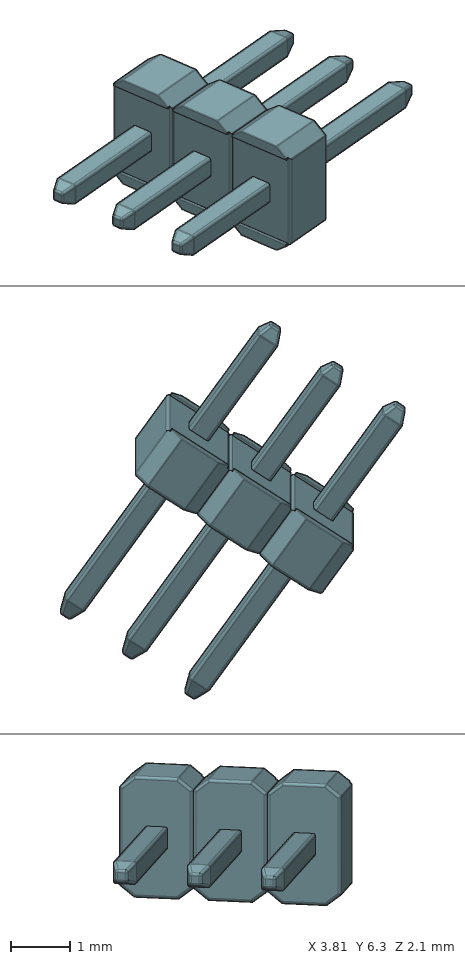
import cadquery as cq


contact_count = 3
row_length = 3.81
pitch = row_length / contact_count

edge_fillet = 0.05

block_height = 2.1
block_depth = 1.0
corner_cut_x = 0.26
corner_cut_z = 0.2
lip_depth = 0.05
lip_fillet = 0.0115
long_edge_fillet = 0.025
wall_height = block_height - 2 * corner_cut_z

overall_length = 6.3
pin_width = 0.4
pin_rear_length = 3.0
tip_width = 0.2
rear_taper = 0.3
front_taper = 0.23
pin_rear_y = pin_rear_length
pin_front_y = pin_rear_length - overall_length


def front_plane(y):
    """Plane at the given Y, with local x along X, local y along Z and its normal toward -Y."""
    return cq.Workplane("XZ", origin=(0, y, 0))


def block_outline(plane):
    """Eight-sided block section as a closed wire on the plane."""
    half_width = pitch / 2
    half_flat = half_width - corner_cut_x
    half_height = block_height / 2
    half_wall = wall_height / 2
    return plane.polyline([
        (-half_flat, -half_height),
        (half_flat, -half_height),
        (half_width, -half_wall),
        (half_width, half_wall),
        (half_flat, half_height),
        (-half_flat, half_height),
        (-half_width, half_wall),
        (-half_width, -half_wall),
    ]).close()


def make_block():
    """Main block, rounded on its long edges, its rear rim and its upright front edges."""
    block = block_outline(front_plane(0)).extrude(block_depth)
    block = block.edges("|Y").fillet(long_edge_fillet)
    block = block.faces(">Y").edges().fillet(edge_fillet)
    rounded_front = cq.Workplane("XY").box(pitch, block_depth, block_height)
    rounded_front = rounded_front.edges("|Z and <Y").fillet(edge_fillet)
    return block.intersect(rounded_front.translate((0, -block_depth / 2, 0)))


def make_lips():
    """Top and bottom lips: the section ahead of the front face, without its sides and middle."""
    lip_width = pitch - 2 * edge_fillet
    plane = front_plane(-block_depth)
    section = block_outline(plane).extrude(lip_depth).edges("|Y").fillet(long_edge_fillet)
    between_uprights = plane.rect(lip_width, block_height).extrude(lip_depth)
    recess = plane.rect(pitch, wall_height).extrude(lip_depth)
    lips = section.intersect(between_uprights).cut(recess)
    return lips.faces("<Y").edges().fillet(lip_fillet)


def make_tip(base_y, end_y):
    """Tapered square tip between two Y positions."""
    return (
        front_plane(base_y)
        .rect(pin_width, pin_width)
        .workplane(offset=base_y - end_y)
        .rect(tip_width, tip_width)
        .loft(ruled=True)
    )


def make_pin():
    """Square pin with tapered tips and every edge rounded."""
    shaft_rear_y = pin_rear_y - rear_taper
    shaft_front_y = pin_front_y + front_taper
    shaft_length = shaft_rear_y - shaft_front_y
    shaft = front_plane(shaft_rear_y).rect(pin_width, pin_width).extrude(shaft_length)
    rear_tip = make_tip(shaft_rear_y, pin_rear_y)
    front_tip = make_tip(shaft_front_y, pin_front_y)
    return shaft.union(rear_tip).union(front_tip).edges().fillet(edge_fillet)


def make_contact(x):
    """One contact, block and pin in one piece, centred at the given X."""
    contact = make_block().union(make_lips()).union(make_pin())
    return contact.translate((x, 0, 0))


contacts = []
for index in range(contact_count):
    offset = index - (contact_count - 1) / 2
    contacts.append(make_contact(offset * pitch).val())

result = cq.Compound.makeCompound(contacts)